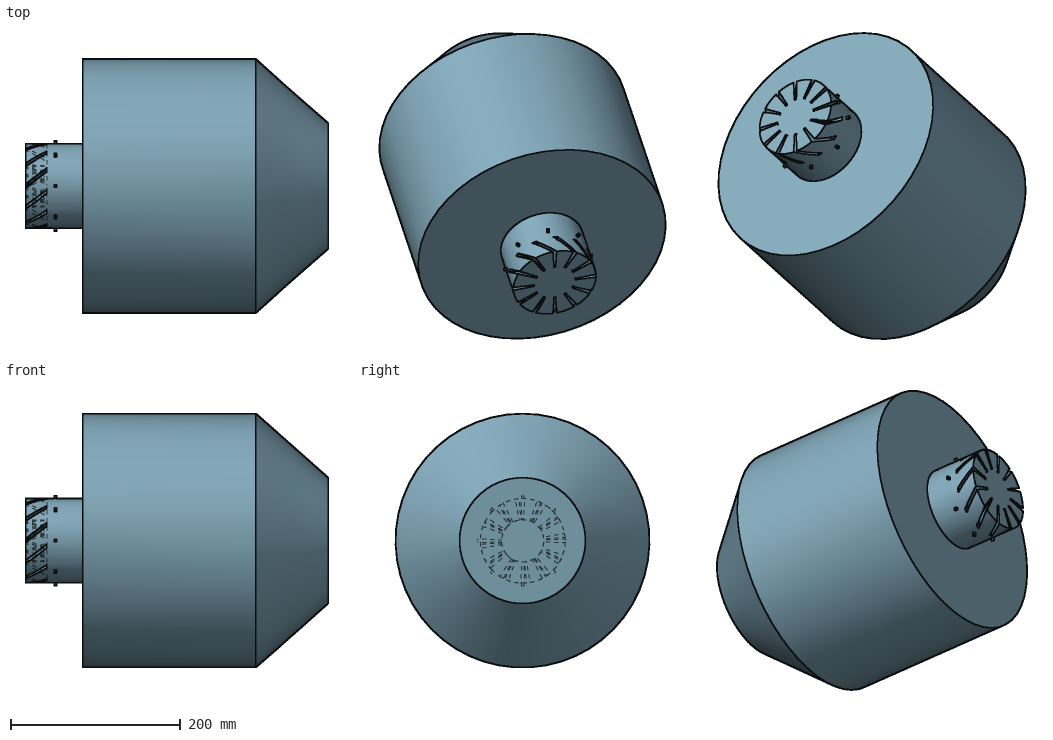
import cadquery as cq

total_length = 357.0
drum_radius = 150.0
drum_length = 204.5
hub_radius = 50.0
hub_length = 67.0
nose_radius = 74.3
hub_end_x = -total_length / 2
drum_start_x = hub_end_x + hub_length
drum_end_x = drum_start_x + drum_length
nose_end_x = hub_end_x + total_length

slot_count = 12
slot_depth_x = 25.0
slot_inner_radius = hub_radius / 2
slot_inner_width = 2.0
slot_outer_width = 4.5
slot_overrun = 3.5
slot_twist = 22.5

pin_count = 8
pin_diameter = 3.2
pin_height = 3.2
pin_x = hub_end_x + 35.0


def make_rotor_blank():
    """Hub, drum and conical nose revolved as one solid."""
    return (
        cq.Workplane("XZ")
        .moveTo(hub_end_x, 0)
        .lineTo(hub_end_x, hub_radius)
        .lineTo(drum_start_x, hub_radius)
        .lineTo(drum_start_x, drum_radius)
        .lineTo(drum_end_x, drum_radius)
        .lineTo(nose_end_x, nose_radius)
        .lineTo(nose_end_x, 0)
        .close()
        .revolve(360, (0, 0, 0), (1, 0, 0))
    )


def make_slot_cutter(angle):
    """Radial wedge twisted about the X axis, wider towards the outside."""
    cutter_radius = hub_radius + slot_overrun
    widening = (slot_outer_width - slot_inner_width) / (hub_radius - slot_inner_radius)
    cutter_width = slot_outer_width + widening * slot_overrun
    return (
        cq.Workplane("YZ", origin=(hub_end_x, 0, 0))
        .moveTo(slot_inner_radius, -slot_inner_width / 2)
        .lineTo(cutter_radius, -cutter_width / 2)
        .lineTo(cutter_radius, cutter_width / 2)
        .lineTo(slot_inner_radius, slot_inner_width / 2)
        .close()
        .twistExtrude(slot_depth_x, -slot_twist)
        .rotate((0, 0, 0), (1, 0, 0), angle)
    )


def make_rotor():
    rotor = make_rotor_blank()
    for index in range(slot_count):
        rotor = rotor.cut(make_slot_cutter(index * 360 / slot_count))
    return rotor


def make_pin(angle):
    """Round radial pin whose foot follows the hub's curved surface."""
    hub_surface = cq.Workplane("YZ", origin=(hub_end_x, 0, 0)).circle(hub_radius).extrude(hub_length)
    return (
        cq.Workplane("XY", origin=(pin_x, 0, 0))
        .circle(pin_diameter / 2)
        .extrude(hub_radius + pin_height)
        .cut(hub_surface)
        .rotate((0, 0, 0), (1, 0, 0), angle)
    )


rotor = make_rotor()
pins = [make_pin(index * 360 / pin_count) for index in range(pin_count)]

result = cq.Compound.makeCompound([rotor.val(), *[pin.val() for pin in pins]])